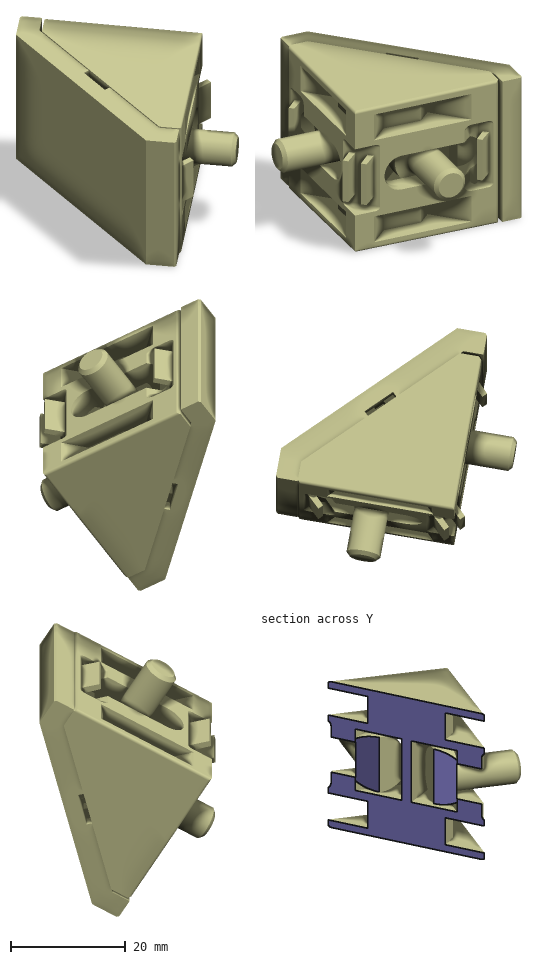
import cadquery as cq
import math

ROOT_TWO = math.sqrt(2)
OVERSIZE = 44.6

cover_width = 44.6
cover_height = 27.5
cover_thickness = 4.0
cover_edge_flat = 0.5
cover_arm_rise = 2.5
latch_slot_width = 6.05
latch_slot_depth = 1.05
latch_step_width = 2.0
latch_side_height = 2.0
latch_middle_height = 4.0

bracket_shift = 0.35
bracket_height = 28.0
bracket_apex_y = 26.4
bracket_half_width = 19.3
bracket_back_half_width = 16.95
draft_angle = 0.55
edge_fillet = 0.5

wall_thickness = 3.9
slot_width = 6.6
slot_low_y = 10.7
slot_high_y = 20.03

tab_height = 8.0
tab_tip_width = 1.03
tab_draft_angle = 1.0
outer_tab_x = 17.5
outer_tab_tip_y = 10.75
inner_tab_x = 1.7
inner_tab_tip_y = 26.55
recess_height = 13.0
recess_ledge_y = 7.55
recess_wall_x = 14.95
recess_depth = 2.0
recess_wall_fillet = 1.05
recess_ledge_fillet = 0.65
notch_ledge_y = 22.95

window_height = 5.05
window_z = 10.0
window_low_y = 10.5
window_step_y = 13.83
window_floor_y = 18.9
window_top_y = 23.75

screw_diameter = 6.0
screw_protrusion = 8.1
screw_tip_chamfer = 0.65
screw_neck_fillet = 0.5
head_diameter = 10.5
head_height = 3.3
screw_y = 15.95

cavity_half_width = 12.5
cavity_height = 11.6
web_thickness = 2.0
cavity_apex_y = bracket_apex_y - wall_thickness * ROOT_TWO


def prism(points, height, z_middle=0.0):
    """Plan outline extruded evenly about the level z_middle."""
    outline = cq.Workplane("XY").workplane(offset=z_middle - height / 2).polyline(points).close()
    return outline.extrude(height)


def both_sides(body):
    """The body together with its mirror image on the right half."""
    return body.union(body.mirror("YZ"))


def face_x(y):
    """X of the left mounting face at the given Y."""
    return y - bracket_apex_y


def face_plane(y):
    """Plane on the left mounting face: local x runs up the face, the normal points outward."""
    return cq.Plane(origin=(face_x(y), y, 0), xDir=(1, 1, 0), normal=(-1, 1, 0))


def make_cover():
    half_width = cover_width / 2
    bevel = cover_thickness - cover_edge_flat
    inner_half_width = bracket_back_half_width + bracket_shift
    arm_tip_x = half_width - cover_arm_rise
    arm_tip_y = cover_thickness + arm_tip_x - inner_half_width
    right_side = [
        (half_width - bevel, 0),
        (half_width, bevel),
        (half_width, cover_thickness),
        (arm_tip_x, arm_tip_y),
        (inner_half_width, cover_thickness),
    ]
    left_side = [(-x, y) for x, y in reversed(right_side)]
    cover = prism(right_side + left_side, cover_height)
    return cover.cut(latch_slots())


def latch_slots():
    """Stepped slots in the inner face at both ends, deeper along Z in the middle."""
    slots = cq.Workplane("XY")
    steps = [(latch_slot_width, latch_side_height), (latch_step_width, latch_middle_height)]
    for end in (-1, 1):
        for width, height in steps:
            slot = cq.Workplane("XY").box(width, latch_slot_depth, height)
            slot_y = cover_thickness - latch_slot_depth / 2
            slot_z = end * (cover_height - height) / 2
            slots = slots.add(slot.translate((0, slot_y, slot_z)))
    return slots.combine()


def bracket_blank():
    """Triangular block, thinning toward its apex, with rounded edges along the mounting faces."""
    shoulder_y = bracket_apex_y - bracket_half_width
    bevel_y = cover_thickness + bracket_half_width - bracket_back_half_width
    outline = [
        (-bracket_back_half_width, cover_thickness),
        (bracket_back_half_width, cover_thickness),
        (bracket_half_width, bevel_y),
        (bracket_half_width, shoulder_y),
        (0, bracket_apex_y),
        (-bracket_half_width, shoulder_y),
        (-bracket_half_width, bevel_y),
    ]
    block = prism(outline, bracket_height)

    half_height = bracket_height / 2
    thinning = (bracket_apex_y - cover_thickness) * math.tan(math.radians(draft_angle))
    side_profile = [
        (cover_thickness, -half_height),
        (bracket_apex_y, thinning - half_height),
        (bracket_apex_y, half_height - thinning),
        (cover_thickness, half_height),
    ]
    envelope = cq.Workplane("YZ").polyline(side_profile).close().extrude(bracket_half_width, both=True)
    block = block.intersect(envelope)
    face_edges = block.edges("not(|X or |Y or |Z)").filter(lambda edge: edge.Center().y > shoulder_y)
    return face_edges.fillet(edge_fillet)


def cavity():
    """Room for the left screw head, open toward the cover and closed by the web in the middle."""
    web_x = -web_thickness / 2
    outline = [
        (-cavity_half_width, cover_thickness),
        (web_x, cover_thickness),
        (web_x, cavity_apex_y + web_x),
        (-cavity_half_width, cavity_apex_y - cavity_half_width),
    ]
    return prism(outline, cavity_height)


def screw_slot():
    """Round-ended slot through the left mounting wall."""
    length = (slot_high_y - slot_low_y) * ROOT_TWO + slot_width
    plane = face_plane((slot_low_y + slot_high_y) / 2)
    return cq.Workplane(plane).slot2D(length, slot_width).extrude(-wall_thickness)


def window(z_middle):
    """Recess with a sloping floor that steps down to a deeper lower part."""
    wall_x = face_x(window_top_y)
    step_x = wall_x - (window_floor_y - window_step_y)
    outline = [
        (wall_x, window_top_y),
        (wall_x, window_floor_y),
        (step_x, window_step_y),
        (step_x, window_low_y),
        (face_x(window_low_y), window_low_y),
    ]
    return prism(outline, window_height, z_middle)


def tab_recess():
    """Recess around the outer tab: a wall along Y, a 45-degree floor and a ledge along X."""
    wall_tool = cq.Workplane("XY").box(OVERSIZE, OVERSIZE, recess_height)
    wall_tool = wall_tool.edges(">X and |Y").fillet(recess_wall_fillet)
    wall_tool = wall_tool.translate((-recess_wall_x - OVERSIZE / 2, 0, 0))

    ledge_tool = cq.Workplane("XY").box(OVERSIZE, OVERSIZE, recess_height)
    ledge_tool = ledge_tool.edges("<Y and |X").fillet(recess_ledge_fillet)
    ledge_tool = ledge_tool.translate((0, recess_ledge_y + OVERSIZE / 2, 0))

    floor_tool = cq.Workplane(face_plane(recess_ledge_y)).workplane(offset=-recess_depth)
    floor_tool = floor_tool.rect(OVERSIZE, OVERSIZE).extrude(OVERSIZE)
    return wall_tool.intersect(ledge_tool).intersect(floor_tool)


def apex_notch():
    """Notch across the apex, where the inner tabs stand."""
    notch = cq.Workplane("XY").box(OVERSIZE, OVERSIZE, recess_height)
    notch = notch.edges("<Y and |X").fillet(recess_ledge_fillet)
    return notch.translate((0, notch_ledge_y + OVERSIZE / 2, 0))


def tab(x_middle, root_y, tip_y):
    """Locating tab on the left half, a little wider at its root."""
    half_tip = tab_tip_width / 2
    half_root = half_tip + (tip_y - root_y) * math.tan(math.radians(tab_draft_angle))
    outline = [
        (-x_middle - half_root, root_y),
        (-x_middle + half_root, root_y),
        (-x_middle + half_tip, tip_y),
        (-x_middle - half_tip, tip_y),
    ]
    return prism(outline, tab_height)


def make_bracket():
    bracket = bracket_blank().cut(apex_notch())
    cutters = [cavity(), screw_slot(), tab_recess(), window(-window_z), window(window_z)]
    for cutter in cutters:
        bracket = bracket.cut(both_sides(cutter))
    tabs = [
        tab(outer_tab_x, recess_ledge_y, outer_tab_tip_y),
        tab(inner_tab_x, notch_ledge_y, inner_tab_tip_y),
    ]
    for left_tab in tabs:
        bracket = bracket.union(both_sides(left_tab))
    return bracket


def make_screw():
    """Screw on the left side, turned about its axis, its head bearing on the inside of the wall."""
    head_radius = head_diameter / 2
    shank_radius = screw_diameter / 2
    shank_length = wall_thickness + screw_protrusion
    neck_radius = shank_radius + screw_neck_fillet
    arc_gap = screw_neck_fillet * (1 - 1 / ROOT_TWO)
    profile = (
        cq.Workplane(bearing_plane())
        .moveTo(0, -head_height)
        .lineTo(head_radius, -head_height)
        .lineTo(head_radius, 0)
        .lineTo(neck_radius, 0)
        .threePointArc((shank_radius + arc_gap, arc_gap), (shank_radius, screw_neck_fillet))
        .lineTo(shank_radius, shank_length - screw_tip_chamfer)
        .lineTo(shank_radius - screw_tip_chamfer, shank_length)
        .lineTo(0, shank_length)
        .close()
    )
    return profile.revolve(360, (0, 0, 0), (0, 1, 0))


def bearing_plane():
    """Plane through the screw axis: local y points outward along it, from the inside of the wall."""
    inset = wall_thickness / ROOT_TWO
    return cq.Plane(origin=(face_x(screw_y) + inset, screw_y - inset, 0), xDir=(1, 1, 0), normal=(0, 0, 1))


cover = make_cover()
left_screw = make_screw()
screws = [left_screw, left_screw.mirror("YZ")]

bracket = make_bracket()
for screw in screws:
    bracket = bracket.cut(screw)

shift = (bracket_shift, 0, 0)
bracket = bracket.translate(shift)
screws = [screw.translate(shift) for screw in screws]

bodies = [cover, bracket, *screws]
result = cq.Compound.makeCompound([solid for body in bodies for solid in body.solids().vals()])